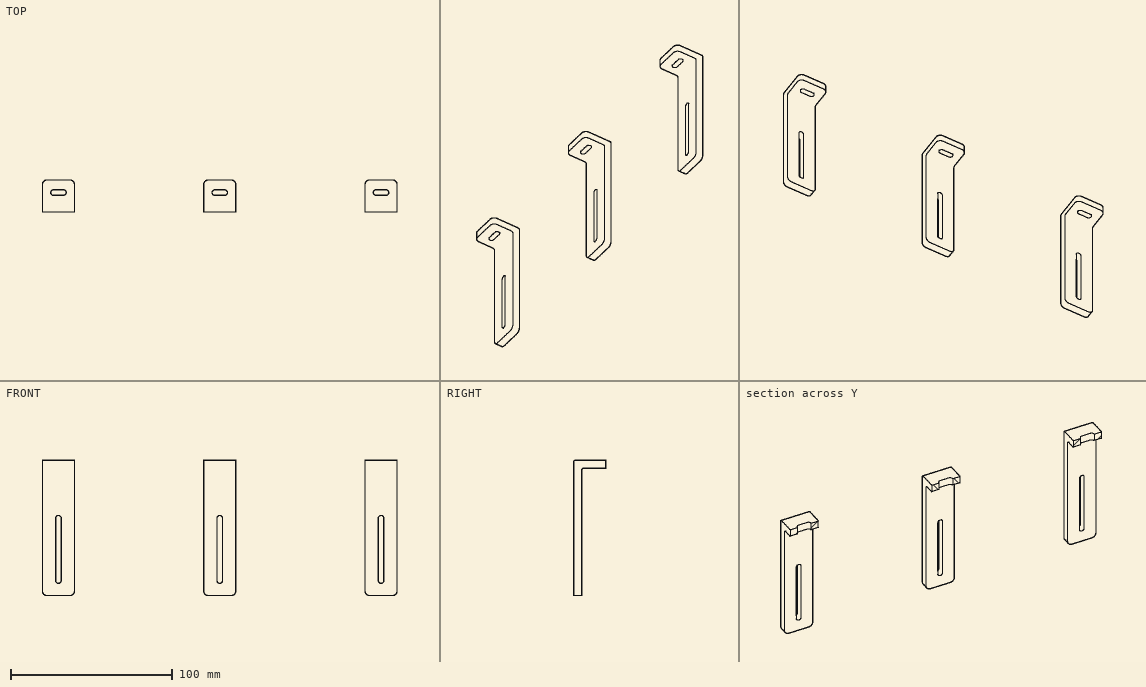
import cadquery as cq

total_length = 220.0
bracket_count = 3

width = 20.0
foot_depth = 20.0
height = 84.0
thickness = 5.0
bend_outer_radius = 1.0
bend_inner_radius = 1.0
corner_radius = 3.0

slot_width = 3.3
long_slot_length = 42.0
long_slot_bottom = 7.7
short_slot_length = 9.5
short_slot_center_y = 12.0

pitch = (total_length - width) / (bracket_count - 1)


def make_l_plate():
    """L profile in the YZ plane, extruded along X and centred on X = 0."""
    profile = [
        (0, 0),
        (thickness, 0),
        (thickness, height - thickness),
        (foot_depth, height - thickness),
        (foot_depth, height),
        (0, height),
    ]
    plate = cq.Workplane("YZ").polyline(profile).close().extrude(width / 2, both=True)
    plate = plate.faces("<Y").edges(">Z").fillet(bend_outer_radius)
    inner_bend = cq.NearestToPointSelector((0, thickness, height - thickness))
    return plate.edges("|X").edges(inner_bend).fillet(bend_inner_radius)


def round_free_corners(plate):
    """Round the lower end of the upright and the free end of the foot."""
    plate = plate.faces("<Z").edges("|Y").fillet(corner_radius)
    return plate.faces(">Y").edges("|Z").fillet(corner_radius)


def make_long_slot():
    """Vertical slot through the upright leg."""
    center_z = long_slot_bottom + long_slot_length / 2
    return (
        cq.Workplane("XZ")
        .center(0, center_z)
        .slot2D(long_slot_length, slot_width, 90)
        .extrude(-thickness)
    )


def make_short_slot():
    """Crosswise slot through the foot."""
    return (
        cq.Workplane("XY", origin=(0, short_slot_center_y, height))
        .slot2D(short_slot_length, slot_width)
        .extrude(-thickness)
    )


def make_bracket(center_x):
    plate = round_free_corners(make_l_plate())
    plate = plate.cut(make_long_slot()).cut(make_short_slot())
    return plate.translate((center_x, 0, 0))


first_center_x = -pitch * (bracket_count - 1) / 2
brackets = [make_bracket(first_center_x + i * pitch) for i in range(bracket_count)]

result = cq.Compound.makeCompound([bracket.val() for bracket in brackets])